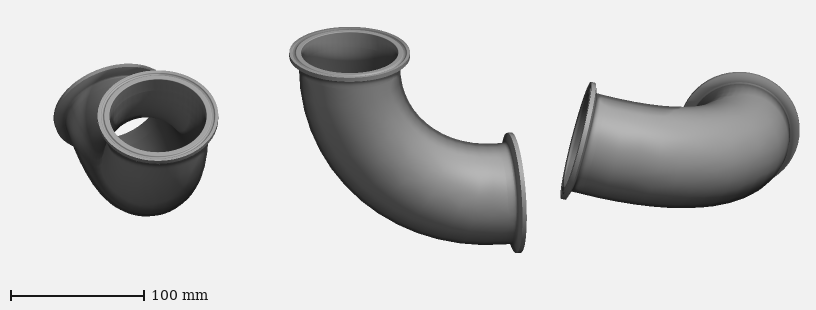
import cadquery as cq
import math

tube_radius = 76.2 / 2
wall = 1.65
bore_radius = tube_radius - wall
bend_radius = 114.3

ferrule_length = 12.7
flange_radius = 90.8 / 2
rim_thickness = 3.3
cone_angle = math.radians(20)
neck_fillet = 1.5
bore_edge_fillet = 0.5

groove_radius = 83.5 / 2
groove_bottom_radius = 1.19
groove_lip_radius = 0.79
groove_angle = math.radians(60)

face_distance = bend_radius + ferrule_length


def ferrule_blank():
    """Ferrule along +Z with its clamp face at Z = 0 and its weld end at ferrule_length."""
    cone_height = (flange_radius - tube_radius) * math.tan(cone_angle)
    neck_start = rim_thickness + cone_height
    blank = (
        cq.Workplane("XZ")
        .moveTo(bore_radius, 0)
        .lineTo(flange_radius, 0)
        .lineTo(flange_radius, rim_thickness)
        .lineTo(tube_radius, neck_start)
        .lineTo(tube_radius, ferrule_length)
        .lineTo(bore_radius, ferrule_length)
        .close()
        .revolve(360, (0, 0, 0), (0, 1, 0))
    )
    neck_corner = cq.selectors.BoxSelector(
        (-flange_radius, -flange_radius, neck_start - neck_fillet / 2),
        (flange_radius, flange_radius, neck_start + neck_fillet / 2),
        boundingbox=True,
    )
    blank = blank.edges(neck_corner).fillet(neck_fillet)
    return blank.faces("<Z").edges(cq.selectors.RadiusNthSelector(0)).fillet(bore_edge_fillet)


def gasket_groove():
    """Ring-shaped cutter for the gasket groove in the face at Z = 0."""
    centre_spacing = groove_bottom_radius + groove_lip_radius
    half_width = centre_spacing * math.sin(groove_angle)
    depth = centre_spacing * (1 - math.cos(groove_angle))
    blend_offset = groove_bottom_radius * math.sin(groove_angle)
    blend_depth = groove_lip_radius * (1 - math.cos(groove_angle))
    lip_offset = half_width - groove_lip_radius * math.sin(groove_angle / 2)
    lip_depth = groove_lip_radius * (1 - math.cos(groove_angle / 2))
    return (
        cq.Workplane("XZ")
        .moveTo(groove_radius - half_width, 0)
        .threePointArc(
            (groove_radius - lip_offset, lip_depth),
            (groove_radius - blend_offset, blend_depth),
        )
        .threePointArc(
            (groove_radius, depth),
            (groove_radius + blend_offset, blend_depth),
        )
        .threePointArc(
            (groove_radius + lip_offset, lip_depth),
            (groove_radius + half_width, 0),
        )
        .close()
        .revolve(360, (0, 0, 0), (0, 1, 0))
    )


def make_ferrule(face_centre, inward):
    """Ferrule with its face at face_centre, running along the inward direction."""
    ferrule = ferrule_blank().cut(gasket_groove())
    seat = cq.Plane(origin=face_centre, xDir=(0, 1, 0), normal=inward)
    return ferrule.val().moved(cq.Location(seat))


def make_elbow():
    """Quarter bend from the -X ferrule up to the +Z ferrule."""
    return (
        cq.Workplane("YZ", origin=(-bend_radius, 0, 0))
        .circle(tube_radius)
        .circle(bore_radius)
        .revolve(90, (0, bend_radius, 0), (-1, bend_radius, 0))
    )


elbow = make_elbow()

ferrule_seats = [
    ((-face_distance, 0, 0), (1, 0, 0)),
    ((0, 0, face_distance), (0, 0, -1)),
]
ferrules = [make_ferrule(centre, inward) for centre, inward in ferrule_seats]

result = cq.Compound.makeCompound([elbow.val(), *ferrules])